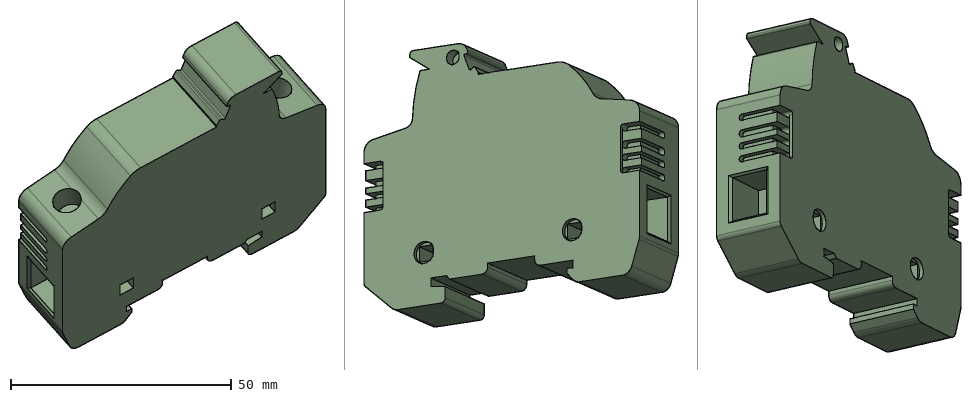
import cadquery as cq
import math


width = 17.5
length = 72.6
height = 60.3
half_width = width / 2
half_length = length / 2
side_face = -half_width

shoulder_angle = 10.0
shoulder_slope = math.tan(math.radians(shoulder_angle))
shoulder_edge_z = 40.45
shoulder_edge_radius = 2.9

top_z = 52.4
step_z = 55.4
back_foot_y = 23.5
back_top_y = 21.5
front_top_y = -16.25
front_foot_y = -24.7

pad_z = 5.3
rail_slot_z = 6.25
recess_z = 7.7
hook_y = 14.9
hook_slot_y = 18.65
clip_lip_y = -17.2
clip_slot_y = -18.7
clip_lip_z = 3.55
small_radius = 0.5
foot_radius = 2.55
recess_radius = 1.45

slot_heights = [(24.0, 25.5), (27.15, 28.6), (30.0, 31.7), (34.05, 35.5)]
slot_reach_x = 11.25
slot_reach_y = 5.0
slot_depth_x = 2.9
slot_depth_y = 1.45
rib_setback = 0.8

entry_width = 9.3
entry_height = 10.45
entry_middle_z = 15.7
entry_depth = 10.9
mouth_width = 10.8
mouth_height = 11.5
mouth_depth = 0.5

screw_diameter = 6.5
screw_depth = 6.5
screw_y = 29.05

rivet_positions_y = (20.5, -18.6)
rivet_z = 12.5
rivet_square = 3.6
rivet_recess_diameter = 5.15
rivet_recess_depth = 1.0

pivot_y = 12.85
pivot_z = 57.3
pivot_diameter = 3.35
pivot_depth = 2.9


def shoulder_z(y):
    """Height of the sharp shoulder slope at a place along Y."""
    return shoulder_edge_z + (half_length - abs(y)) * shoulder_slope


def side_plane(x):
    """Y-Z sketch plane at a place along X, facing +X."""
    return cq.Workplane("YZ", origin=(x, 0, 0))


def round_corners(body, corners):
    """Round the edges along X that pass through the (y, z, radius) corners."""
    for y, z, radius in corners:
        edge = cq.selectors.NearestToPointSelector((0, y, z))
        body = body.edges("|X").edges(edge).fillet(radius)
    return body


def make_housing():
    back_foot = (back_foot_y, shoulder_z(back_foot_y))
    back_middle = (23.0, 49.4)
    back_top = (back_top_y, step_z)
    front_top = (front_top_y, top_z)
    front_middle = (-21.0, 48.1)
    front_foot = (front_foot_y, shoulder_z(front_foot_y))
    back_edge = (half_length, shoulder_edge_z)
    front_edge = (-half_length, shoulder_edge_z)
    step_end = (16.05, step_z)
    back_wall_end = (half_length, 6.9)
    back_foot_end = (28.3, 0)
    front_wall_end = (-half_length, 8.2)
    front_foot_end = (-33.7, 0)
    hook_foot = (hook_y, 0)
    recess_back = (3.7, pad_z)
    recess_front = (-8.7, pad_z)
    clip_foot = (-19.5, 0)

    outline = (
        side_plane(side_face)
        .moveTo(*back_wall_end)
        .lineTo(*back_edge)
        .lineTo(*back_foot)
        .threePointArc(back_middle, back_top)
        .lineTo(*step_end)
        .lineTo(13.9, top_z)
        .lineTo(*front_top)
        .threePointArc(front_middle, front_foot)
        .lineTo(*front_edge)
        .lineTo(*front_wall_end)
        .lineTo(*front_foot_end)
        .lineTo(*clip_foot)
        .lineTo(clip_lip_y, 2.3)
        .lineTo(clip_lip_y, clip_lip_z)
        .lineTo(clip_slot_y, clip_lip_z)
        .lineTo(clip_slot_y, pad_z)
        .lineTo(*recess_front)
        .lineTo(recess_front[0], recess_z)
        .lineTo(recess_back[0], recess_z)
        .lineTo(*recess_back)
        .lineTo(13.7, pad_z)
        .lineTo(14.7, rail_slot_z)
        .lineTo(hook_slot_y, rail_slot_z)
        .lineTo(hook_slot_y, 4.3)
        .lineTo(hook_y, 3.7)
        .lineTo(*hook_foot)
        .lineTo(*back_foot_end)
        .close()
    )
    corners = [
        (*back_edge, shoulder_edge_radius),
        (*front_edge, shoulder_edge_radius),
        (*back_foot, 2.2),
        (*front_foot, 3.55),
        (*front_top, 4.4),
        (*back_top, small_radius),
        (*step_end, small_radius),
        (*back_wall_end, 1.45),
        (*back_foot_end, foot_radius),
        (*front_wall_end, foot_radius),
        (*front_foot_end, foot_radius),
        (*clip_foot, foot_radius),
        (*hook_foot, 1.1),
        (*recess_back, recess_radius),
        (*recess_front, recess_radius),
    ]
    return round_corners(outline.extrude(width), corners)


def make_latch():
    edge_radius = 0.3
    tip_y = 24.25
    lip_z = 57.65
    tip_top = (tip_y, height)
    tip_bottom = (tip_y, 58.8)
    lip_top = (9.7, height)
    lip_corner = (8.8, lip_z)
    notch_root = (10.1, lip_z)
    tooth_root = (8.4, 53.6)
    tooth_tip = (7.2, 54.45)
    foot_y = 6.2
    back_y = 19.2
    buried_z = top_z - 1.45
    outline = [
        tip_top,
        lip_top,
        lip_corner,
        notch_root,
        tooth_root,
        tooth_tip,
        (foot_y, 52.85),
        (foot_y, buried_z),
        (back_y, buried_z),
        (back_y, step_z),
        tip_bottom,
    ]
    body = side_plane(side_face).polyline(outline).close().extrude(width)
    corners = [
        (*tip_top, 1.0),
        (*tip_bottom, 0.3),
        (*lip_top, 2.5),
        (*lip_corner, edge_radius),
        (*notch_root, edge_radius),
        (*tooth_root, edge_radius),
        (*tooth_tip, edge_radius),
    ]
    return round_corners(body, corners)


def slot_cutter(low_z, high_z):
    """One slot wrapping the corner of the side face and the -Y end wall."""
    slot_height = high_z - low_z
    middle_z = (low_z + high_z) / 2
    end_cut = (
        cq.Workplane("XZ", origin=(side_face, -half_length, middle_z))
        .slot2D(2 * slot_reach_x, slot_height)
        .extrude(-slot_depth_y)
    )
    side_cut = (
        side_plane(side_face)
        .center(-half_length, middle_z)
        .slot2D(2 * slot_reach_y, slot_height)
        .extrude(slot_depth_x)
    )
    return end_cut.union(side_cut)


def slot_group_cutter():
    """All slots of the -Y end and the setback of the ribs between them."""
    low_z = sum(slot_heights[0]) / 2
    high_z = sum(slot_heights[-1]) / 2
    corner = cq.Workplane("XY", origin=(side_face, -half_length, low_z))
    cutter = corner.box(rib_setback, slot_reach_y, high_z - low_z, centered=False)
    for low, high in slot_heights:
        cutter = cutter.union(slot_cutter(low, high))
    return cutter


def cable_entry_cutter():
    """Rectangular pocket in the -Y end wall with a tapered mouth."""
    wall = cq.Workplane("XZ", origin=(0, -half_length, entry_middle_z))
    pocket = wall.rect(entry_width, entry_height).extrude(-entry_depth)
    mouth = (
        wall.rect(mouth_width, mouth_height)
        .workplane(offset=-mouth_depth)
        .rect(entry_width, entry_height)
        .loft()
    )
    return pocket.union(mouth)


def screw_hole_cutter():
    """Blind hole square to the shoulder of the -Y end."""
    angle = math.radians(shoulder_angle)
    mouth_centre = cq.Vector(0, -screw_y, shoulder_z(screw_y))
    inward = cq.Vector(0, math.sin(angle), -math.cos(angle))
    clearance = 1.45
    hole = cq.Solid.makeCylinder(
        screw_diameter / 2, screw_depth + clearance, mouth_centre - inward * clearance, inward
    )
    return cq.Workplane(hole)


def rivet_hole_cutter(y):
    """Square through hole with a shallow round recess in the side face."""
    face = side_plane(side_face).center(y, rivet_z)
    square = face.rect(rivet_square, rivet_square).extrude(width)
    recess = face.circle(rivet_recess_diameter / 2).extrude(rivet_recess_depth)
    return square.union(recess)


def pivot_hole_cutter():
    face = side_plane(side_face).center(pivot_y, pivot_z)
    return face.circle(pivot_diameter / 2).extrude(pivot_depth)


result = make_housing().union(make_latch())

for end_cutter in (slot_group_cutter(), cable_entry_cutter(), screw_hole_cutter()):
    result = result.cut(end_cutter).cut(end_cutter.mirror("XZ"))

for rivet_y in rivet_positions_y:
    result = result.cut(rivet_hole_cutter(rivet_y))

result = result.cut(pivot_hole_cutter())